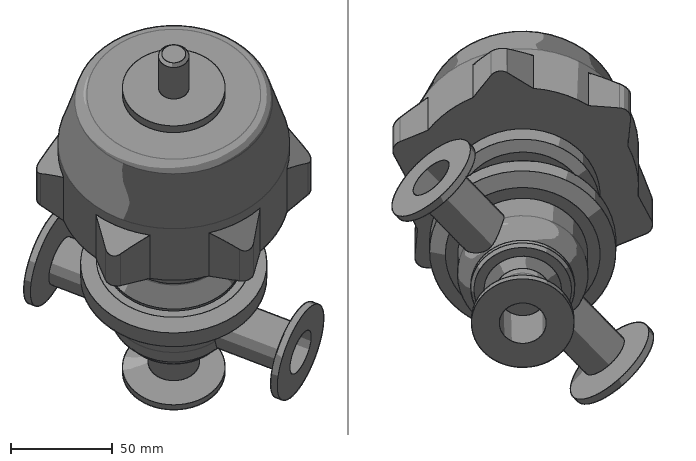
import cadquery as cq
import math

total_height = 235
hub_top = 210.0
bonnet_top = 205.0
bonnet_shoulder = 200.8
skirt_top = 169.5
skirt_bottom = 131.5
cone_top = 95.4
cone_bottom = 84.3
cone_blend_bottom = 94.7
port_axis_height = 50.0
collar_top = 36.9
collar_bottom = 34.3
drain_top = 27.0

shaft_radius = 7.5
shaft_chamfer = 1.6
hub_radius = 25.25
bonnet_top_radius = 42.8
bonnet_shoulder_radius = 48.6
bonnet_edge_bulge = 1.0
skirt_radius = 56.96

lobe_count = 6
lobe_reach = 67.53
lobe_tip_fillet = 5.9
lobe_apex = lobe_reach + lobe_tip_fillet * (math.sqrt(2) - 1)
lobe_root = 47
lobe_top = 163.5
lobe_tip_height = 153.5

neck_radius = 27.0
cone_radius = 33.95
cone_blend_radius = 27.2
neck_ring_radius = 38.0
neck_ring_face_radius = 32.0
neck_ring_bottom = 111.8
neck_ring_height = 14.3
neck_ring_bevel = 2.0
body_ring_radius = 45.8
body_ring_face_radius = 38.0
body_ring_bottom = 67.0
body_ring_height = 16.0
body_ring_bevel = 2.94

body_radius = 32.0
collar_radius = 25.5
collar_chamfer = 1.6
dome_bulge = 2.3
drain_mouth_radius = 19.0
drain_throat_radius = 13.9
drain_throat_height = 29.5
drain_throat_bulge = 0.2

port_half_span = 70.0
pipe_radius = 12.7
bore_radius = 11.5
ferrule_radius = 25.25
ferrule_rim = 3.8
ferrule_height = 7.5


def disc(radius, bottom, top):
    return cq.Workplane("XY").workplane(offset=bottom).circle(radius).extrude(top - bottom)


def bevelled_ring(radius, face_radius, bottom, height, bevel):
    """Clamp ring with conical edges above and below."""
    profile = [
        (0, bottom),
        (face_radius, bottom),
        (radius, bottom + bevel),
        (radius, bottom + height - bevel),
        (face_radius, bottom + height),
        (0, bottom + height),
    ]
    return cq.Workplane("XZ").polyline(profile).close().revolve(360, (0, 0), (0, 1))


def bulged_midpoint(start, end, bulge):
    """Point off the middle of a chord, on its right when going from start to end."""
    dx = end[0] - start[0]
    dz = end[1] - start[1]
    length = math.hypot(dx, dz)
    return (
        (start[0] + end[0]) / 2 + bulge * dz / length,
        (start[1] + end[1]) / 2 - bulge * dx / length,
    )


def bonnet():
    shoulder = (bonnet_shoulder_radius, bonnet_shoulder)
    rim = (bonnet_top_radius, bonnet_top)
    return (
        cq.Workplane("XZ")
        .moveTo(0, skirt_bottom)
        .lineTo(skirt_radius, skirt_bottom)
        .lineTo(skirt_radius, skirt_top)
        .lineTo(*shoulder)
        .threePointArc(bulged_midpoint(shoulder, rim, bonnet_edge_bulge), rim)
        .lineTo(0, bonnet_top)
        .close()
        .revolve(360, (0, 0), (0, 1))
    )


def lobe():
    """Right-angled wedge along +X with a rounded tip and a conical top."""
    half_width = lobe_apex - lobe_root
    wedge = (
        cq.Workplane("XY")
        .workplane(offset=skirt_bottom)
        .polyline([(lobe_root, -half_width), (lobe_apex, 0), (lobe_root, half_width)])
        .close()
        .extrude(lobe_top - skirt_bottom)
        .edges("|Z and >X")
        .fillet(lobe_tip_fillet)
    )
    side_profile = [
        (0, skirt_bottom),
        (lobe_reach, skirt_bottom),
        (lobe_reach, lobe_tip_height),
        (skirt_radius, lobe_top),
        (0, lobe_top),
    ]
    envelope = cq.Workplane("XZ").polyline(side_profile).close().revolve(360, (0, 0), (0, 1))
    return wedge.intersect(envelope)


def neck():
    profile = [
        (0, body_ring_bottom),
        (cone_radius, body_ring_bottom),
        (cone_radius, cone_bottom),
        (cone_blend_radius, cone_blend_bottom),
        (neck_radius, cone_top),
        (neck_radius, skirt_bottom),
        (0, skirt_bottom),
    ]
    return cq.Workplane("XZ").polyline(profile).close().revolve(360, (0, 0), (0, 1))


def valve_body():
    """Cylindrical chamber with a domed underside, a collar and a drain narrowing to the pipe."""
    dome_start = (collar_radius, collar_top)
    dome_end = (body_radius, port_axis_height)
    drain_start = (pipe_radius, drain_top)
    drain_throat = (drain_throat_radius, drain_throat_height)
    collar_underside = collar_bottom - collar_chamfer
    return (
        cq.Workplane("XZ")
        .moveTo(0, drain_top)
        .lineTo(*drain_start)
        .threePointArc(bulged_midpoint(drain_start, drain_throat, -drain_throat_bulge), drain_throat)
        .lineTo(drain_mouth_radius, collar_underside)
        .lineTo(collar_radius - collar_chamfer, collar_underside)
        .lineTo(collar_radius, collar_bottom)
        .lineTo(*dome_start)
        .threePointArc(bulged_midpoint(dome_start, dome_end, dome_bulge), dome_end)
        .lineTo(body_radius, body_ring_bottom)
        .lineTo(0, body_ring_bottom)
        .close()
        .revolve(360, (0, 0), (0, 1))
    )


def port(length):
    """Pipe rising along Z from a clamp ferrule whose face is at the origin."""
    profile = [
        (0, 0),
        (ferrule_radius, 0),
        (ferrule_radius, ferrule_rim),
        (pipe_radius, ferrule_height),
        (pipe_radius, length),
        (0, length),
    ]
    return cq.Workplane("XZ").polyline(profile).close().revolve(360, (0, 0), (0, 1))


def side_placed(shape, side):
    """Move a Z-axis port shape to the -X side (-1) or the +X side (+1)."""
    turned = shape.rotate((0, 0, 0), (0, 1, 0), -90 * side)
    return turned.translate((side * port_half_span, 0, port_axis_height))


shaft = disc(shaft_radius, bonnet_top, total_height).faces(">Z").chamfer(shaft_chamfer)
hub = disc(hub_radius, bonnet_top, hub_top)
neck_ring = bevelled_ring(
    neck_ring_radius, neck_ring_face_radius, neck_ring_bottom, neck_ring_height, neck_ring_bevel
)
body_ring = bevelled_ring(
    body_ring_radius, body_ring_face_radius, body_ring_bottom, body_ring_height, body_ring_bevel
)

result = bonnet().union(hub).union(shaft)
for index in range(lobe_count):
    angle = 90 + index * 360 / lobe_count
    result = result.union(lobe().rotate((0, 0, 0), (0, 0, 1), angle))
result = result.union(neck()).union(neck_ring).union(body_ring).union(valve_body())

side_bore_depth = port_half_span - body_radius
result = result.union(port(drain_top))
result = result.cut(disc(bore_radius, 0, drain_top))
for side in (-1, 1):
    result = result.union(side_placed(port(port_half_span), side))
    result = result.cut(side_placed(disc(bore_radius, 0, side_bore_depth), side))